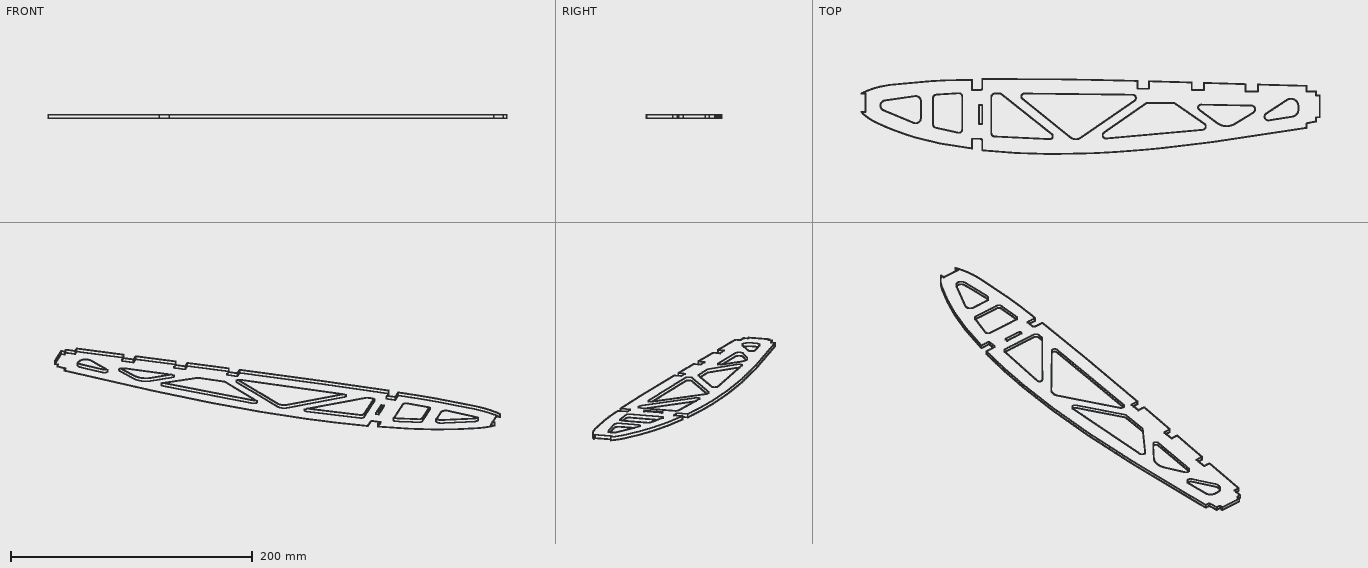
import cadquery as cq
import math

LENGTH = 379.5
HEIGHT = 62.2
THICKNESS = 3.0

NOSE_DEPTH = 3.5
NOSE_BOTTOM = 35.0
NOSE_TOP = 50.0

SPAR_START = 92.0
SPAR_END = 100.2
SPAR_TOP_FLOOR = 53.0
SPAR_BOTTOM_FLOOR = 12.5
SPAR_CORNER_RADIUS = 1.5

WEB_SLOT_START = 97.5
WEB_SLOT_END = SPAR_END
WEB_SLOT_BOTTOM = 25.0
WEB_SLOT_TOP = 40.5

STRINGER_NOTCHES = [
    (229.0, 238.0, 54.3),
    (273.5, 283.5, 53.0),
    (318.0, 328.3, 52.0),
]

SHOULDER_X = 368.5
STEP_X = 376.5
STEP_BOTTOM = (25.5, 27.0)
STEP_TOP = 52.0
TIP_BOTTOM = 30.5
TIP_TOP = 48.5

UPPER_FRONT = [(0, NOSE_TOP), (11.0, 54.5), (37.5, 59.0), (69.0, 61.0), (SPAR_START, 61.5)]
UPPER_REAR = [(SPAR_END, HEIGHT), (193.5, 61.5), (265.5, 59.5), (SHOULDER_X, 56.5)]
LOWER_FRONT = [(0, NOSE_BOTTOM), (8.0, 28.5), (20.5, 22.5), (37.5, 16.0), (SPAR_START, 4.5)]
LOWER_REAR = [(SPAR_END, 3.0), (160.5, 0), (208.7, 1.5), (290.5, 10.0), (SHOULDER_X, 21.5)]

WINDOWS = [
    [(4.5, 42.0, 4.0), (49.5, 48.5, 4.0), (49.5, 23.5, 4.0)],
    [(59.5, 49.0, 2.5), (83.5, 50.5, 2.5), (83.5, 17.0, 2.5), (59.5, 22.5, 2.5)],
    [(107.8, 50.0, 3.0), (115.5, 50.0, 3.0), (163.2, 12.0, 2.3), (107.8, 14.8, 2.5)],
    [(128.3, 50.0, 2.3), (233.0, 49.0, 2.5), (177.2, 10.5, 7.2)],
    [(192.8, 12.0, 2.5), (236.0, 42.0, 1.0), (259.2, 42.0, 1.0), (290.0, 21.0, 2.5)],
    [(274.0, 41.0, 2.3), (333.2, 40.0, 3.0), (301.7, 20.5, 13.3)],
    [(323.5, 25.8, 3.0), (361.7, 51.0, 6.0), (361.7, 32.0, 5.7)],
]


def plate():
    """Solid rib outline, drawn clockwise from the upper lip of the nose."""
    outline = (
        cq.Workplane("XY")
        .moveTo(*UPPER_FRONT[0])
        .spline(UPPER_FRONT[1:], includeCurrent=True)
        .lineTo(SPAR_START, SPAR_TOP_FLOOR)
        .lineTo(SPAR_END - SPAR_CORNER_RADIUS, SPAR_TOP_FLOOR)
        .tangentArcPoint((SPAR_END, SPAR_TOP_FLOOR + SPAR_CORNER_RADIUS), relative=False)
        .lineTo(*UPPER_REAR[0])
        .spline(UPPER_REAR[1:], includeCurrent=True)
        .lineTo(SHOULDER_X, STEP_TOP)
        .lineTo(STEP_X, STEP_TOP)
        .lineTo(STEP_X, TIP_TOP)
        .lineTo(LENGTH, TIP_TOP)
        .lineTo(LENGTH, TIP_BOTTOM)
        .lineTo(STEP_X, TIP_BOTTOM)
        .lineTo(STEP_X, STEP_BOTTOM[1])
        .lineTo(SHOULDER_X, STEP_BOTTOM[0])
        .lineTo(*LOWER_REAR[-1])
        .spline(LOWER_REAR[-2::-1], includeCurrent=True)
        .lineTo(SPAR_END, SPAR_BOTTOM_FLOOR - SPAR_CORNER_RADIUS)
        .tangentArcPoint((SPAR_END - SPAR_CORNER_RADIUS, SPAR_BOTTOM_FLOOR), relative=False)
        .lineTo(SPAR_START, SPAR_BOTTOM_FLOOR)
        .lineTo(*LOWER_FRONT[-1])
        .spline(LOWER_FRONT[-2::-1], includeCurrent=True)
        .lineTo(NOSE_DEPTH, NOSE_BOTTOM)
        .lineTo(NOSE_DEPTH, NOSE_TOP)
        .close()
    )
    return outline.extrude(THICKNESS)


def box_cut(start, end, bottom, top):
    """Rectangular cutter through the plate."""
    return (
        cq.Workplane("XY")
        .moveTo(start, bottom)
        .lineTo(end, bottom)
        .lineTo(end, top)
        .lineTo(start, top)
        .close()
        .extrude(THICKNESS)
    )


def corner_tangents(previous, corner, following):
    """Points where a corner's rounding meets its two straight sides."""
    x, y, radius = corner
    to_previous = math.atan2(previous[1] - y, previous[0] - x)
    to_following = math.atan2(following[1] - y, following[0] - x)
    half_angle = math.acos(math.cos(to_previous - to_following)) / 2
    setback = radius / math.tan(half_angle)
    return [
        (x + setback * math.cos(angle), y + setback * math.sin(angle))
        for angle in (to_previous, to_following)
    ]


def window(corners):
    """Polygonal cutter with a rounding at each corner."""
    count = len(corners)
    tangents = [
        corner_tangents(corners[i - 1], corners[i], corners[(i + 1) % count])
        for i in range(count)
    ]
    path = cq.Workplane("XY").moveTo(*tangents[-1][1])
    for arc_start, arc_end in tangents:
        path = path.lineTo(*arc_start).tangentArcPoint(arc_end, relative=False)
    return path.close().extrude(THICKNESS)


result = plate()
result = result.cut(box_cut(WEB_SLOT_START, WEB_SLOT_END, WEB_SLOT_BOTTOM, WEB_SLOT_TOP))
for notch_start, notch_end, notch_floor in STRINGER_NOTCHES:
    result = result.cut(box_cut(notch_start, notch_end, notch_floor, HEIGHT))
for window_corners in WINDOWS:
    result = result.cut(window(window_corners))